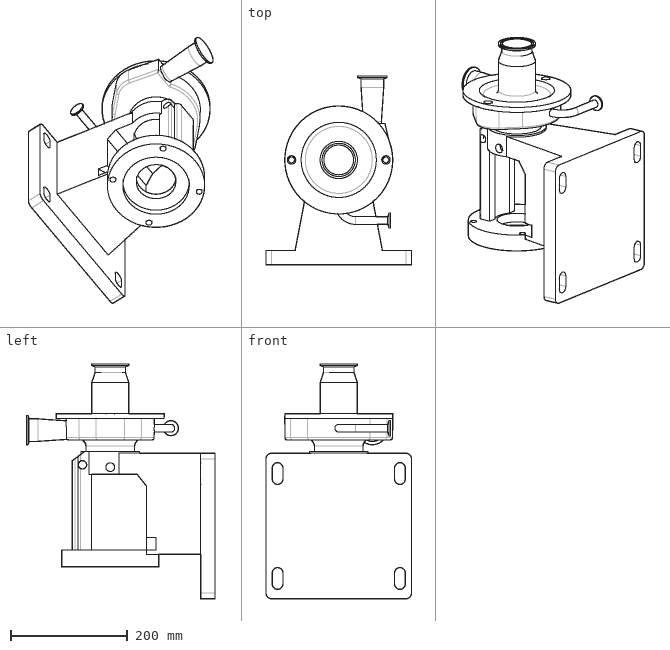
import cadquery as cq
import math


PLATE_SIZE = 250.0
PLATE_THICKNESS = 25.0
PLATE_BACK_Y = -180.0
PLATE_FRONT_Y = PLATE_BACK_Y + PLATE_THICKNESS
PLATE_CORNER_RADIUS = 10.0
SLOT_LENGTH = 37.0
SLOT_WIDTH = 18.0
SLOT_SPACING_X = 210.0
SLOT_SPACING_Z = 180.0

HUB_RADIUS = 50.5
HUB_TOP_Z = 253.0
HUB_BOTTOM_Z = 213.5
HUB_BORE_RADIUS = 38.0
HUB_CAP_THICKNESS = 10.0
HUB_SIDE_HOLE_DIAMETER = 15.0
HUB_SIDE_HOLE_Z = 226.0

ARM_TOP_Z = PLATE_SIZE
ARM_BOTTOM_Z = 76.5
ARM_INNER_Y = -62.0
ARM_BEVEL_Y = -46.0
ARM_BEVEL_HEIGHT = 20.0
ARM_ROOT_HALF_WIDTH = 75.0
ARM_TIP_Y = -14.0
ARM_TIP_HALF_WIDTH = 48.0

RING_RADIUS = 83.5
RING_HOLE_RADIUS = 34.0
RING_TOP_Z = 84.0
RING_THICKNESS = 29.0
RING_PILOT_RADIUS = 57.0
RING_PILOT_DEPTH = 13.5
RING_BOLT_CIRCLE_RADIUS = 75.0
RING_BOLT_DIAMETER = 10.0
RING_BOLT_COUNT = 4
RING_BOLT_START_ANGLE = 45.0

NOTCH_HEIGHT = 21.5
NOTCH_DEPTH = 16.5
NOTCH_OUTER_X = 60.0
NOTCH_INNER_X = 22.0

COLUMN_HALF_WIDTH = 35.0
COLUMN_INNER_Y = 32.0
COLUMN_SHOULDER_Y = 55.0
COLUMN_OUTER_Y = 65.5
COLUMN_RIB_HALF_WIDTH = 22.0
COLUMN_SHOULDER_RADIUS = 4.0
COLUMN_RIB_RADIUS = 5.0
COLUMN_BEVEL_WIDTH = 22.0
COLUMN_BEVEL_HEIGHT = 16.0
COLUMN_HOLE_DIAMETER = 14.0
COLUMN_HOLE_Y = 47.7
COLUMN_HOLE_Z = 230.0

CASING_BOTTOM_Z = 272.5
CASING_TOP_Z = 309.0
CASING_RADIUS = 76.0
CASING_DRAFT = 1.0
CASING_EDGE_RADIUS = 4.0
EAR_RADIUS = 35.0
EAR_OFFSET = (CASING_RADIUS - EAR_RADIUS) * math.sqrt(2)
OUTLET_PAD_TOP_Y = 62.5
OUTLET_PAD_LEAN = 13.0

NECK_RADIUS = 42.0
NECK_FLARE_RADIUS = 47.5
NECK_FLARE_START_Z = 262.5

COVER_RADIUS = 92.75
COVER_TOP_Z = 318.0
DISH_RADIUS = 64.5
DISH_WALL = 7.0
DISH_LOW_RADIUS = 46.0
DISH_LOW_DEPTH = 12.5
COVER_HOLE_SPACING = 162.0
COVER_HOLE_DIAMETER = 14.5
COVER_HOLE_DEPTH = 9.0
TIP_HOLE_DIAMETER = 10.0
TIP_HOLE_DEPTH = 3.0

FERRULE_RIM = 2.8
FERRULE_TAPER = 2.2

INLET_TOP_Z = 403.0
INLET_RADIUS = 32.0
INLET_NECK_RADIUS = 26.3
INLET_TAPER_START_Z = 371.5
INLET_TAPER_END_Z = 388.5
GROOVE_INNER_RADIUS = 25.5
GROOVE_OUTER_RADIUS = 28.5
GROOVE_DEPTH = 1.0

OUTLET_X = 57.7
OUTLET_Z = 289.5
OUTLET_END_Y = 144.0
OUTLET_RIM_RADIUS = 25.3
OUTLET_RADIUS = 19.6
OUTLET_TAPER_START_Y = 124.0
OUTLET_ROOT_Y = 66.0
OUTLET_ROOT_RADIUS = 15.7
OUTLET_START_Y = 33.0

DRAIN_Z = 292.8
DRAIN_Y = -104.0
DRAIN_RADIUS = 6.6
DRAIN_BEND_RADIUS = 29.0
DRAIN_END_X = 89.0
DRAIN_RIM_RADIUS = 13.0

OVERLAP = 5.0


def cylinder(radius, bottom, top):
    return cq.Workplane("XY").workplane(offset=bottom).circle(radius).extrude(top - bottom)


def make_plate():
    middle = PLATE_SIZE / 2
    plate = (
        cq.Workplane("XZ", origin=(0, PLATE_FRONT_Y, middle))
        .rect(PLATE_SIZE, PLATE_SIZE)
        .extrude(PLATE_THICKNESS)
        .edges("|Y")
        .fillet(PLATE_CORNER_RADIUS)
    )
    slots = (
        cq.Workplane("XZ", origin=(0, PLATE_FRONT_Y, middle))
        .rect(SLOT_SPACING_X, SLOT_SPACING_Z, forConstruction=True)
        .vertices()
        .slot2D(SLOT_LENGTH, SLOT_WIDTH, 90)
        .extrude(PLATE_THICKNESS)
    )
    return plate.cut(slots)


def make_notch(side):
    """Clearance pocket in one flank of the arm, with a slanted back wall."""
    reach = 2 * NOTCH_OUTER_X
    back_y = ARM_INNER_Y - NOTCH_DEPTH
    return (
        cq.Workplane("XY", origin=(0, 0, RING_TOP_Z))
        .polyline(
            [
                (side * NOTCH_INNER_X, ARM_INNER_Y),
                (side * NOTCH_OUTER_X, back_y),
                (side * reach, back_y),
                (side * reach, ARM_INNER_Y),
            ]
        )
        .close()
        .extrude(NOTCH_HEIGHT)
    )


def make_arm():
    plan = (
        cq.Workplane("XY", origin=(0, 0, ARM_BOTTOM_Z))
        .polyline(
            [
                (-ARM_ROOT_HALF_WIDTH, PLATE_FRONT_Y),
                (-ARM_TIP_HALF_WIDTH, ARM_TIP_Y),
                (ARM_TIP_HALF_WIDTH, ARM_TIP_Y),
                (ARM_ROOT_HALF_WIDTH, PLATE_FRONT_Y),
            ]
        )
        .close()
        .extrude(ARM_TOP_Z - ARM_BOTTOM_Z)
    )
    profile = (
        cq.Workplane("YZ")
        .polyline(
            [
                (PLATE_FRONT_Y, ARM_TOP_Z),
                (ARM_TIP_Y, ARM_TOP_Z),
                (ARM_TIP_Y, HUB_BOTTOM_Z),
                (ARM_BEVEL_Y, HUB_BOTTOM_Z),
                (ARM_INNER_Y, HUB_BOTTOM_Z - ARM_BEVEL_HEIGHT),
                (ARM_INNER_Y, ARM_BOTTOM_Z),
                (PLATE_FRONT_Y, ARM_BOTTOM_Z),
            ]
        )
        .close()
        .extrude(ARM_ROOT_HALF_WIDTH, both=True)
    )
    return plan.intersect(profile).cut(make_notch(-1)).cut(make_notch(1))


def make_column():
    base_depth = COLUMN_SHOULDER_Y - COLUMN_INNER_Y
    rib_depth = COLUMN_OUTER_Y - COLUMN_INNER_Y
    height = HUB_TOP_Z - RING_TOP_Z

    def bar(half_width, depth, corner_radius):
        return (
            cq.Workplane("XY", origin=(0, COLUMN_INNER_Y + depth / 2, RING_TOP_Z))
            .rect(2 * half_width, depth)
            .extrude(height)
            .edges("|Z and >Y")
            .fillet(corner_radius)
        )

    bevel = (
        cq.Workplane("YZ")
        .polyline(
            [
                (COLUMN_OUTER_Y, HUB_TOP_Z),
                (COLUMN_OUTER_Y - COLUMN_BEVEL_WIDTH, HUB_TOP_Z),
                (COLUMN_OUTER_Y, HUB_TOP_Z - COLUMN_BEVEL_HEIGHT),
            ]
        )
        .close()
        .extrude(COLUMN_HALF_WIDTH, both=True)
    )
    base = bar(COLUMN_HALF_WIDTH, base_depth, COLUMN_SHOULDER_RADIUS)
    rib = bar(COLUMN_RIB_HALF_WIDTH, rib_depth, COLUMN_RIB_RADIUS)
    return base.union(rib).cut(bevel)


def make_ring():
    bottom = RING_TOP_Z - RING_THICKNESS
    return cylinder(RING_RADIUS, bottom, RING_TOP_Z)


def cut_ring_holes(body):
    bottom = RING_TOP_Z - RING_THICKNESS
    bolts = (
        cq.Workplane("XY", origin=(0, 0, bottom))
        .polarArray(RING_BOLT_CIRCLE_RADIUS, RING_BOLT_START_ANGLE, 360, RING_BOLT_COUNT)
        .circle(RING_BOLT_DIAMETER / 2)
        .extrude(RING_THICKNESS)
    )
    hole = cylinder(RING_HOLE_RADIUS, bottom, RING_TOP_Z)
    pilot = cylinder(RING_PILOT_RADIUS, bottom, bottom + RING_PILOT_DEPTH)
    return body.cut(hole).cut(pilot).cut(bolts)


def cut_hub_bore(body):
    """Motor bore, open downward to the ring, and the access hole in the -X wall of the hub."""
    bore = cylinder(HUB_BORE_RADIUS, RING_TOP_Z, HUB_TOP_Z - HUB_CAP_THICKNESS)
    side_hole = (
        cq.Workplane("YZ", origin=(-HUB_RADIUS, 0, HUB_SIDE_HOLE_Z))
        .circle(HUB_SIDE_HOLE_DIAMETER / 2)
        .extrude(HUB_RADIUS)
    )
    return body.cut(bore).cut(side_hole)


def cut_column_hole(body):
    hole = (
        cq.Workplane("YZ", origin=(0, COLUMN_HOLE_Y, COLUMN_HOLE_Z))
        .circle(COLUMN_HOLE_DIAMETER / 2)
        .extrude(COLUMN_HALF_WIDTH, both=True)
    )
    return body.cut(hole)


def make_bracket():
    hub = cylinder(HUB_RADIUS, HUB_BOTTOM_Z, HUB_TOP_Z)
    frame = make_plate().union(make_arm()).union(hub).union(make_column())
    frame = cut_column_hole(cut_hub_bore(frame)).union(make_ring())
    return cut_ring_holes(frame)


def make_casing():
    """Round casing with an ear at each side and a pad under the outlet, narrowing downward."""
    height = CASING_TOP_Z - CASING_BOTTOM_Z
    diagonal = math.sqrt(0.5)
    flat_round = CASING_RADIUS * diagonal
    flat_ear_x = EAR_OFFSET + EAR_RADIUS * diagonal
    flat_ear_y = EAR_RADIUS * diagonal
    lean = math.radians(OUTLET_PAD_LEAN)
    pad_start_x = EAR_OFFSET + EAR_RADIUS * math.cos(lean)
    pad_start_y = EAR_RADIUS * math.sin(lean)
    pad_end_x = pad_start_x - (OUTLET_PAD_TOP_Y - pad_start_y) * math.tan(lean)
    pad_root_x = math.sqrt(CASING_RADIUS**2 - OUTLET_PAD_TOP_Y**2)
    middle_angle = (lean - math.pi / 4) / 2
    ear_middle = (
        EAR_OFFSET + EAR_RADIUS * math.cos(middle_angle),
        EAR_RADIUS * math.sin(middle_angle),
    )
    return (
        cq.Workplane("XY", origin=(0, 0, CASING_TOP_Z))
        .moveTo(-flat_round, -flat_round)
        .threePointArc((0, -CASING_RADIUS), (flat_round, -flat_round))
        .lineTo(flat_ear_x, -flat_ear_y)
        .threePointArc(ear_middle, (pad_start_x, pad_start_y))
        .lineTo(pad_end_x, OUTLET_PAD_TOP_Y)
        .lineTo(pad_root_x, OUTLET_PAD_TOP_Y)
        .threePointArc((0, CASING_RADIUS), (-flat_round, flat_round))
        .lineTo(-flat_ear_x, flat_ear_y)
        .threePointArc((-EAR_OFFSET - EAR_RADIUS, 0), (-flat_ear_x, -flat_ear_y))
        .close()
        .extrude(-height, taper=CASING_DRAFT)
        .faces("<Z")
        .edges()
        .fillet(CASING_EDGE_RADIUS)
    )


def make_neck():
    rise = CASING_BOTTOM_Z - NECK_FLARE_START_Z
    return (
        cq.Workplane("XZ")
        .moveTo(0, HUB_TOP_Z)
        .lineTo(NECK_RADIUS, HUB_TOP_Z)
        .lineTo(NECK_RADIUS, NECK_FLARE_START_Z)
        .spline(
            [(NECK_FLARE_RADIUS, CASING_BOTTOM_Z)],
            tangents=[(0, rise), (1, 1)],
            includeCurrent=True,
        )
        .lineTo(NECK_FLARE_RADIUS, CASING_BOTTOM_Z + OVERLAP)
        .lineTo(0, CASING_BOTTOM_Z + OVERLAP)
        .close()
        .revolve(360, (0, 0, 0), (0, 1, 0))
    )


def make_cover_hole(x):
    plane = cq.Workplane("XY", origin=(x, 0, COVER_TOP_Z))
    wide = plane.circle(COVER_HOLE_DIAMETER / 2).extrude(-COVER_HOLE_DEPTH)
    tip = cq.Solid.makeCone(
        TIP_HOLE_DIAMETER / 2,
        0,
        TIP_HOLE_DEPTH,
        cq.Vector(x, 0, COVER_TOP_Z - COVER_HOLE_DEPTH),
        cq.Vector(0, 0, -1),
    )
    return wide.union(cq.Workplane(tip))


def cut_cover(body):
    """Dish around the inlet tube: a conical wall, then a round trough rising to the tube."""
    dish = (
        cq.Workplane("XZ")
        .moveTo(INLET_RADIUS, COVER_TOP_Z)
        .lineTo(DISH_RADIUS, COVER_TOP_Z)
        .lineTo(DISH_RADIUS - DISH_WALL, COVER_TOP_Z - DISH_WALL)
        .threePointArc(
            (DISH_LOW_RADIUS, COVER_TOP_Z - DISH_LOW_DEPTH),
            (INLET_RADIUS, COVER_TOP_Z),
        )
        .close()
        .revolve(360, (0, 0, 0), (0, 1, 0))
    )
    body = body.cut(dish)
    for side in (-1, 1):
        body = body.cut(make_cover_hole(side * COVER_HOLE_SPACING / 2))
    return body


def ferruled_tube(end, rim_radius, tube_radius, rest):
    """Tube along its own Z axis: a clamp ferrule at `end`, then the (radius, height) points of `rest`."""
    outline = [
        (0, end),
        (rim_radius, end),
        (rim_radius, end - FERRULE_RIM),
        (tube_radius, end - FERRULE_RIM - FERRULE_TAPER),
        *rest,
        (0, rest[-1][1]),
    ]
    return cq.Workplane("XZ").polyline(outline).close().revolve(360, (0, 0, 0), (0, 1, 0))


def make_inlet():
    rest = [
        (INLET_NECK_RADIUS, INLET_TAPER_END_Z),
        (INLET_RADIUS, INLET_TAPER_START_Z),
        (INLET_RADIUS, CASING_TOP_Z),
    ]
    tube = ferruled_tube(INLET_TOP_Z, INLET_RADIUS, INLET_NECK_RADIUS, rest)
    groove = (
        cq.Workplane("XY", origin=(0, 0, INLET_TOP_Z))
        .circle(GROOVE_OUTER_RADIUS)
        .circle(GROOVE_INNER_RADIUS)
        .extrude(-GROOVE_DEPTH)
    )
    return tube.cut(groove)


def make_outlet():
    rest = [
        (OUTLET_RADIUS, OUTLET_TAPER_START_Y),
        (OUTLET_ROOT_RADIUS, OUTLET_ROOT_Y),
        (OUTLET_ROOT_RADIUS, OUTLET_START_Y),
    ]
    tube = ferruled_tube(OUTLET_END_Y, OUTLET_RIM_RADIUS, OUTLET_RADIUS, rest)
    return tube.rotate((0, 0, 0), (1, 0, 0), -90).translate((OUTLET_X, 0, OUTLET_Z))


def make_drain():
    straight = ferruled_tube(
        DRAIN_END_X, DRAIN_RIM_RADIUS, DRAIN_RADIUS, [(DRAIN_RADIUS, DRAIN_BEND_RADIUS)]
    )
    straight = straight.rotate((0, 0, 0), (0, 1, 0), 90).translate((0, DRAIN_Y, DRAIN_Z))
    bend_start_y = DRAIN_Y + DRAIN_BEND_RADIUS
    bend_middle = DRAIN_BEND_RADIUS * (1 - math.sqrt(0.5))
    inner_y = bend_start_y + OVERLAP
    path = (
        cq.Workplane("XY", origin=(0, 0, DRAIN_Z))
        .moveTo(0, inner_y)
        .lineTo(0, bend_start_y)
        .threePointArc((bend_middle, DRAIN_Y + bend_middle), (DRAIN_BEND_RADIUS, DRAIN_Y))
    )
    bend = cq.Workplane("XZ", origin=(0, inner_y, DRAIN_Z)).circle(DRAIN_RADIUS).sweep(path)
    return straight.union(bend)


def make_pump_head():
    cover = cylinder(COVER_RADIUS, CASING_TOP_Z, COVER_TOP_Z)
    head = make_casing().union(make_neck()).union(cover)
    head = cut_cover(head)
    return head.union(make_inlet()).union(make_outlet()).union(make_drain())


result = make_bracket().union(make_pump_head())